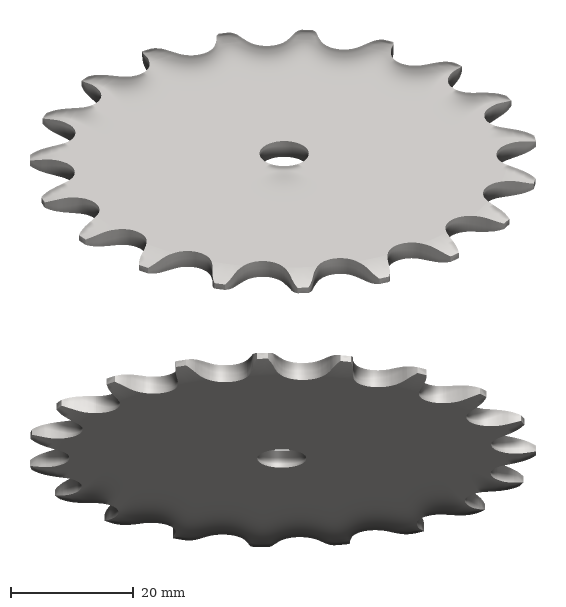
import cadquery as cq
import math

tooth_count = 19
pitch_radius = 38.6
outer_radius = 41.45
thickness = 3.0
bore_diameter = 8.0
roller_diameter = 7.8
roller_clearance = 0.038
side_curve_start = 36.6

half_pitch_angle = math.pi / tooth_count
half_pitch = pitch_radius * math.sin(half_pitch_angle)
side_curve_radius = 2 * half_pitch


def polar(centre, radius, angle):
    """Point at a distance and angle (radians) from a centre."""
    return (centre[0] + radius * math.cos(angle), centre[1] + radius * math.sin(angle))


def arc_points(centre, radius, start_angle, end_angle):
    """Start, middle and end points of an arc."""
    middle_angle = (start_angle + end_angle) / 2
    return [polar(centre, radius, angle) for angle in (start_angle, middle_angle, end_angle)]


seating_angle = math.radians(35 + 60 / tooth_count)
working_angle = math.radians(18 - 56 / tooth_count)
topping_angle = math.radians(17 - 64 / tooth_count)

working_offset = 0.8 * roller_diameter
topping_offset = 1.4 * roller_diameter

seating_radius = 0.5025 * roller_diameter + roller_clearance
working_radius = 1.3025 * roller_diameter + roller_clearance
topping_radius = (
    working_offset * math.cos(working_angle)
    + topping_offset * math.cos(topping_angle)
    - working_radius
)

roller_centre = (0, pitch_radius)
working_centre = polar(roller_centre, working_offset, seating_angle)
topping_centre = polar(roller_centre, topping_offset, math.pi + half_pitch_angle)

seating_end_angle = math.pi + seating_angle
working_end_angle = seating_end_angle - working_angle
topping_start_angle = working_end_angle - math.pi
topping_end_angle = half_pitch_angle + math.acos((topping_offset - half_pitch) / topping_radius)

topping_arc = arc_points(topping_centre, topping_radius, topping_end_angle, topping_start_angle)
working_arc = arc_points(working_centre, working_radius, working_end_angle, seating_end_angle)
gap_bottom = (0, pitch_radius - seating_radius)


def rotate(point, angle):
    """Turn a point about the wheel axis."""
    x, y = point
    return (x * math.cos(angle) - y * math.sin(angle), x * math.sin(angle) + y * math.cos(angle))


def mirror(point):
    """Reflect a point across the centreline of the top gap."""
    return (-point[0], point[1])


def add_gap(outline, angle):
    """Continue the outline from one pointed tooth tip, through a gap, to the next tip."""
    tip, topping_middle, topping_end = topping_arc
    working_start, working_middle, working_end = working_arc

    def place(point):
        return rotate(point, angle)

    def place_mirrored(point):
        return rotate(mirror(point), angle)

    return (
        outline.threePointArc(place(topping_middle), place(topping_end))
        .lineTo(*place(working_start))
        .threePointArc(place(working_middle), place(working_end))
        .threePointArc(place(gap_bottom), place_mirrored(working_end))
        .threePointArc(place_mirrored(working_middle), place_mirrored(working_start))
        .lineTo(*place_mirrored(topping_end))
        .threePointArc(place_mirrored(topping_middle), place_mirrored(tip))
    )


def make_toothed_plate():
    """Plate of full thickness with pointed teeth."""
    outline = cq.Workplane("XY", origin=(0, 0, -thickness / 2)).moveTo(*topping_arc[0])
    for index in range(tooth_count):
        outline = add_gap(outline, -2 * half_pitch_angle * index)
    return outline.close().extrude(thickness)


def make_blank():
    """Turned disc with the bore, the outer diameter and the curved sides of the rim."""
    bore_radius = bore_diameter / 2
    half_thickness = thickness / 2
    curve_centre = (side_curve_start, half_thickness - side_curve_radius)
    rim_angle = math.acos((outer_radius - side_curve_start) / side_curve_radius)
    _, curve_middle, rim = arc_points(curve_centre, side_curve_radius, math.pi / 2, rim_angle)
    section = (
        cq.Workplane("XZ")
        .moveTo(bore_radius, -half_thickness)
        .lineTo(bore_radius, half_thickness)
        .lineTo(side_curve_start, half_thickness)
        .threePointArc(curve_middle, rim)
        .lineTo(rim[0], -rim[1])
        .threePointArc((curve_middle[0], -curve_middle[1]), (side_curve_start, -half_thickness))
        .close()
    )
    return section.revolve(360, (0, 0, 0), (0, 1, 0))


result = make_blank().intersect(make_toothed_plate())